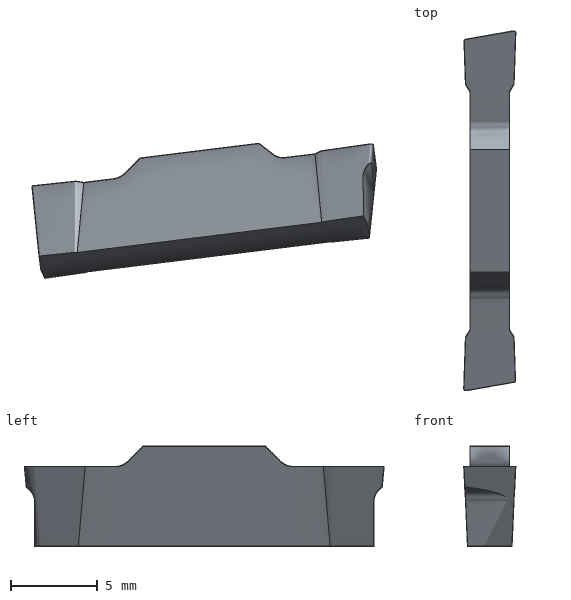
import cadquery as cq
import math

body_width = 2.3
body_half_length = 7.6
shelf_height = 4.6
total_height = 5.76
ridge_half_length = 3.52
ridge_slope = 45.0
ridge_foot_radius = 1.0

tip_reach = 10.376
tip_half_width = 1.5054
shoulder_half_width = 1.40
shoulder_reach = 7.27
neck_reach = 6.85
side_draft = 2.5
front_lead = 10.0
front_clearance = 5.0
tip_radius = 0.13
shoulder_radius = 0.2
stock = 2.0

relief_reach = 9.755
relief_height = 2.55
relief_radius = 1.0


def make_body():
    """Side profile of the bar and ridge, extruded across the width."""
    slope = math.radians(ridge_slope)
    foot_rise = ridge_foot_radius * (1 - math.cos(slope))
    foot_run = ridge_foot_radius * math.sin(slope)
    slope_end_z = shelf_height + foot_rise
    slope_end_y = ridge_half_length + (total_height - slope_end_z) / math.tan(slope)
    foot_end_y = slope_end_y + foot_run
    foot_mid_y = foot_end_y - ridge_foot_radius * math.sin(slope / 2)
    foot_mid_z = shelf_height + ridge_foot_radius * (1 - math.cos(slope / 2))
    return (
        cq.Workplane("YZ")
        .moveTo(-body_half_length, 0)
        .lineTo(body_half_length, 0)
        .lineTo(body_half_length, shelf_height)
        .lineTo(foot_end_y, shelf_height)
        .threePointArc((foot_mid_y, foot_mid_z), (slope_end_y, slope_end_z))
        .lineTo(ridge_half_length, total_height)
        .lineTo(-ridge_half_length, total_height)
        .lineTo(-slope_end_y, slope_end_z)
        .threePointArc((-foot_mid_y, foot_mid_z), (-foot_end_y, shelf_height))
        .lineTo(-body_half_length, shelf_height)
        .close()
        .extrude(body_width / 2, both=True)
    )


def make_head_blank():
    """Drafted head, longer than needed at the front."""
    flare = (tip_half_width - shoulder_half_width) / (tip_reach - shoulder_reach)
    blank_reach = tip_reach + stock
    blank_half_width = tip_half_width + flare * stock
    neck_slope = (shoulder_reach - neck_reach) / (shoulder_half_width - body_width / 2)
    back_half_width = body_width / 4
    back_reach = neck_reach - neck_slope * (body_width / 2 - back_half_width)
    right_side = [
        (blank_half_width, -blank_reach),
        (shoulder_half_width, -shoulder_reach),
        (back_half_width, -back_reach),
    ]
    left_side = [(-x, y) for x, y in reversed(right_side)]
    return (
        cq.Workplane("XY", origin=(0, 0, shelf_height))
        .polyline(right_side + left_side)
        .close()
        .extrude(-shelf_height, taper=side_draft)
    )


def make_front_cutter():
    """Block whose back face is the inclined front face of the head."""
    lead = math.radians(front_lead)
    clearance = math.radians(front_clearance)
    outward = (
        math.sin(lead) * math.cos(clearance),
        -math.cos(lead) * math.cos(clearance),
        -math.sin(clearance),
    )
    front_plane = cq.Plane(
        origin=(-tip_half_width, -tip_reach, shelf_height),
        xDir=(math.cos(lead), math.sin(lead), 0),
        normal=outward,
    )
    size = 4 * shelf_height
    return cq.Workplane(front_plane).rect(size, size).extrude(size)


def make_relief_cutter():
    """Flat wall below a round that runs out into the front face."""
    round_center_y = -relief_reach - relief_radius
    wall = (
        cq.Workplane("XY", origin=(0, round_center_y, 0))
        .rect(2 * body_width, 2 * relief_radius)
        .extrude(relief_height)
    )
    round_cut = (
        cq.Workplane("YZ", origin=(-body_width, round_center_y, relief_height))
        .circle(relief_radius)
        .extrude(2 * body_width)
    )
    return wall.union(round_cut)


def make_head():
    """Finished head: front face, rounded upright edges, then the relief."""
    head = make_head_blank().cut(make_front_cutter())
    tip_edges = head.edges("not(#Z)").filter(
        lambda edge: edge.Center().y < -(tip_reach + shoulder_reach) / 2
    )
    head = tip_edges.fillet(tip_radius)
    shoulder_edges = head.edges("not(#Z)").filter(
        lambda edge: abs(edge.Center().y + shoulder_reach) < shoulder_radius
    )
    head = shoulder_edges.fillet(shoulder_radius)
    return head.cut(make_relief_cutter())


head = make_head()
opposite_head = head.rotate((0, 0, 0), (0, 0, 1), 180)
result = make_body().union(head).union(opposite_head)